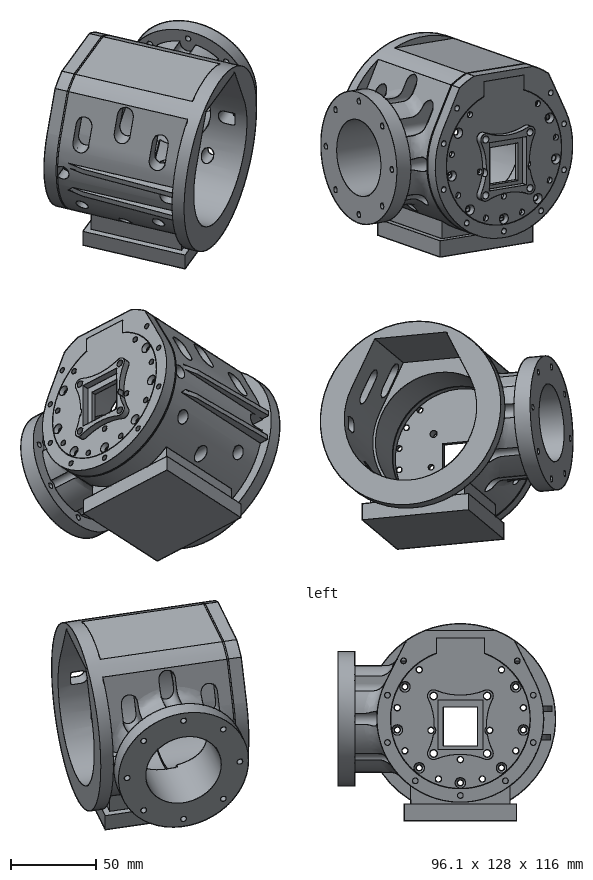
import cadquery as cq
import math


overall_width = 128.0
overall_height = 116.0

pad_front = -50.0
cover_front = -46.0
gasket_front = -38.1
housing_front = -37.2
top_flat_end = 37.0
flange_face = 38.4
housing_back = 46.1

barrel_radius = 49.0
flange_diameter = 112.0
flange_radius = flange_diameter / 2
top_flat_height = 51.8
flat_tilt = 26.6
main_bore_radius = 39.4
cavity_radius = 41.1
cavity_top = 47.5
cavity_front = -6.4

port_face = overall_width - flange_radius
port_flange_thickness = 10.0
port_back = port_face - port_flange_thickness
port_flange_diameter = 79.2
port_neck_diameter = 63.2
port_bore_diameter = 46.0
port_blend_radius = 7.7

port_bolt_count = 8
port_bolt_circle_radius = 34.3
port_bolt_hole = 3.5
upper_slot_width = 10.0
upper_slot_length = 19.5
upper_slot_rise = 0.9
level_access_width = 8.6
level_slot_length = 12.8
lower_access_diameter = 7.5
blind_access_depth = 8.8

foot_center_x = 4.7
pedestal_length, pedestal_width = 57.5, 58.4
foot_length, foot_width = 65.0, 66.0
foot_top = -50.0
foot_bottom = flange_radius - overall_height

rib_thickness = 3.2
rib_places = ((5.9, 51.0), (-10.9, 50.0))
rib_bend_x = -20.6
rib_rise = 3.0
rib_root = 43.5
rib_ramp_slope = 0.25

cover_bolt_hole = 3.3
cover_bolt_circle_radius = 45.0
cover_bolt_angles = (18, -18, -54, -90, -126, -162, 162)
cover_bolt_pair_y, cover_bolt_pair_z = 33.4, 34.0
cover_bolt_depth = 10.0

plate_thickness = 3.0
plate_recess_diameter = 82.3
plate_diameter = 81.9
key_width = 28.3
key_top = 47.5
plate_hole_circle_radius = 37.6
plain_hole = 3.5
plain_hole_angles = (50, 10, -30, -70)
screw_hole = 3.3
screw_head_diameter = 6.1
screw_head_angle = 60
screw_angles = (30, -10, -50)
lower_hole_z = -24.0
side_hole_y, side_hole_z = 17.3, -6.8
side_hole_relief_radius = 2.8

pad_center_z = -3.5
pad_hole = 4.2
pad_hole_y, pad_hole_z = 15.7, 16.9
pad_corner_radius = 3.6
pad_waist_y, pad_waist_z = 15.4, 17.4
pocket_width, pocket_height = 26.4, 29.2
window_width, window_height = 20.1, 22.8
window_center_z = -4.5

far = 76.8
tiny = 0.01


def disc_x(diameter, x_start, x_end, y=0.0, z=0.0):
    """Cylinder along X."""
    return cq.Workplane("YZ", origin=(x_start, y, z)).circle(diameter / 2).extrude(x_end - x_start)


def disc_y(diameter, y_start, y_end, x=0.0, z=0.0):
    """Cylinder along Y."""
    plane = cq.Plane(origin=(x, y_start, z), xDir=(-1, 0, 0), normal=(0, 1, 0))
    return cq.Workplane(plane).circle(diameter / 2).extrude(y_end - y_start)


def block(x_range, y_range, z_range):
    """Axis-aligned box between two limits on each axis."""
    ranges = (x_range, y_range, z_range)
    sizes = [high - low for low, high in ranges]
    corner = tuple(low for low, high in ranges)
    return cq.Workplane("XY").box(*sizes, centered=False).translate(corner)


def polar(radius, angle):
    return radius * math.cos(math.radians(angle)), radius * math.sin(math.radians(angle))


def arched_bar(x_start, x_end, radius, top_z):
    """Bar along X with a round bottom whose sides rise in tangent flats to a flat top."""
    tangent_y, tangent_z = polar(radius, flat_tilt)
    top_y = tangent_y - (top_z - tangent_z) * math.tan(math.radians(flat_tilt))
    return (
        cq.Workplane("YZ", origin=(x_start, 0, 0))
        .moveTo(tangent_y, tangent_z)
        .lineTo(top_y, top_z)
        .lineTo(-top_y, top_z)
        .lineTo(-tangent_y, tangent_z)
        .threePointArc((0, -radius), (tangent_y, tangent_z))
        .close()
        .extrude(x_end - x_start)
    )


def barrel(x_start, x_end):
    """Outer shape of the barrel: the arched bar kept inside the flange circle."""
    outline = arched_bar(x_start, x_end, barrel_radius, top_flat_height)
    return outline.intersect(disc_x(flange_diameter, x_start, x_end))


def cover_bolt_places():
    places = [polar(cover_bolt_circle_radius, angle) for angle in cover_bolt_angles]
    return places + [(side * cover_bolt_pair_y, cover_bolt_pair_z) for side in (1, -1)]


def cut_cover_bolts(body, x_start, x_end):
    for y, z in cover_bolt_places():
        body = body.cut(disc_x(cover_bolt_hole, x_start, x_end, y, z))
    return body



def barrel_with_neck():
    """Barrel and port neck, joined by a blend that is trimmed at the ends of the barrel."""
    neck = disc_y(port_neck_diameter, 0, port_back)
    joined = barrel(-far, far).union(neck)
    reach = port_neck_diameter / 2 + port_blend_radius
    near_y = barrel_radius / 2
    far_y = (barrel_radius + port_back) / 2
    seam_zone = cq.selectors.BoxSelector((-reach, near_y, -reach), (reach, far_y, reach))
    blended = joined.edges("not(%LINE)").edges(seam_zone).fillet(port_blend_radius)
    return blended.intersect(block((housing_front, flange_face), (-far, far), (-far, far)))


def end_flange():
    """Round flange; its top part starts where the flat on the barrel ends."""
    rim = disc_x(flange_diameter, flange_face, housing_back)
    side_y = polar(barrel_radius, flat_tilt)[0]
    crown = disc_x(flange_diameter, top_flat_end, flange_face).intersect(
        block((top_flat_end, flange_face), (-side_y, side_y), (cavity_top, far))
    )
    return rim, crown


def foot():
    pedestal = block(
        (foot_center_x - pedestal_length / 2, foot_center_x + pedestal_length / 2),
        (-pedestal_width / 2, pedestal_width / 2),
        (foot_top, -main_bore_radius),
    )
    base = block(
        (foot_center_x - foot_length / 2, foot_center_x + foot_length / 2),
        (-foot_width / 2, foot_width / 2),
        (foot_bottom, foot_top),
    )
    return pedestal.union(base)


def rib(center_z, bend_y):
    """Flat bar along X on the -Y side, rising out of the barrel and then more gently to the flange."""
    start_y = bend_y - rib_ramp_slope * (rib_bend_x - housing_front)
    profile = [
        (housing_front, -start_y),
        (rib_bend_x, -bend_y),
        (flange_face, -bend_y - rib_rise),
        (flange_face, -rib_root),
        (housing_front, -rib_root),
    ]
    bottom_z = center_z - rib_thickness / 2
    return cq.Workplane("XY", origin=(0, 0, bottom_z)).polyline(profile).close().extrude(rib_thickness)


def access_cut(x, z):
    """Tool access along Y behind one port bolt: a slot above the axis, a round hole below it."""
    plane = cq.Plane(origin=(x, port_back, z), xDir=(1, 0, 0), normal=(0, -1, 0))
    sketch = cq.Workplane(plane)
    on_axis_level = abs(z) < tiny
    if on_axis_level and x > 0:
        sketch = sketch.slot2D(level_slot_length, level_access_width)
    elif on_axis_level:
        sketch = sketch.circle(level_access_width / 2)
    elif z > 0:
        sketch = sketch.center(0, upper_slot_rise).slot2D(upper_slot_length, upper_slot_width, 90)
    else:
        sketch = sketch.circle(lower_access_diameter / 2)
    cut = sketch.extrude(port_back + far)
    return cut.intersect(block((-far, flange_face), (-far, far), (-far, far)))


def blind_access(cut):
    """Keep only the ends of a cut, each stopping at a copy of the barrel moved inwards along Y."""
    core = barrel(housing_front, flange_face)
    front = cut.intersect(block((-far, far), (-far, 0), (-far, far)))
    back = cut.intersect(block((-far, far), (0, far), (-far, far)))
    front = front.cut(core.translate((0, blind_access_depth, 0)))
    back = back.cut(core.translate((0, -blind_access_depth, 0)))
    return front, back


def make_housing():
    body = barrel_with_neck()
    for center_z, bend_y in rib_places:
        body = body.union(rib(center_z, bend_y))

    bolts = [polar(port_bolt_circle_radius, 360 / port_bolt_count * i) for i in range(port_bolt_count)]
    for x, z in bolts:
        cut = access_cut(x, z)
        if x < -tiny:
            for end in blind_access(cut):
                body = body.cut(end)
        else:
            body = body.cut(cut)

    for part in (*end_flange(), foot(), disc_y(port_flange_diameter, port_back, port_face)):
        body = body.union(part)
    for x, z in bolts:
        body = body.cut(disc_y(port_bolt_hole, port_back, port_face, x, z))
    body = body.cut(disc_x(2 * main_bore_radius, housing_front, housing_back))
    body = body.cut(arched_bar(cavity_front, housing_back, cavity_radius, cavity_top))
    body = body.cut(disc_y(port_bore_diameter, 0, port_face))
    return cut_cover_bolts(body, housing_front, housing_front + cover_bolt_depth)



def make_gasket():
    ring = barrel(gasket_front, housing_front).cut(
        disc_x(2 * main_bore_radius, gasket_front, housing_front)
    )
    return cut_cover_bolts(ring, gasket_front, housing_front)



def keyed_disc(diameter, x_start, x_end):
    """Disc with a square key at its top."""
    key = block((x_start, x_end), (-key_width / 2, key_width / 2), (0, key_top))
    return disc_x(diameter, x_start, x_end).union(key)


def make_cover():
    ring = barrel(cover_front, gasket_front)
    ring = ring.cut(disc_x(2 * main_bore_radius, cover_front, gasket_front))
    ring = ring.cut(keyed_disc(plate_recess_diameter, cover_front, cover_front + plate_thickness))
    return cut_cover_bolts(ring, cover_front, gasket_front)



def waist_tangent(along, across, waist):
    """Tangent point of a concave side arc on a corner circle, as (along, across) the side."""
    gap = waist - across
    side_radius = (along**2 + gap**2 - pad_corner_radius**2) / (2 * (pad_corner_radius - gap))
    reach = side_radius + pad_corner_radius
    share = pad_corner_radius / reach
    return along * (1 - share), across + share * (gap + side_radius)


def pad():
    """Four-cornered pad with rounded corners and concave sides, relieved around the side holes."""
    top_y, top_z = waist_tangent(pad_hole_y, pad_hole_z, pad_waist_z)
    side_z, side_y = waist_tangent(pad_hole_z, pad_hole_y, pad_waist_y)
    diagonal = pad_corner_radius / math.sqrt(2)
    tip_y, tip_z = pad_hole_y + diagonal, pad_hole_z + diagonal
    solid = (
        cq.Workplane("YZ", origin=(pad_front, 0, pad_center_z))
        .moveTo(-top_y, top_z)
        .threePointArc((0, pad_waist_z), (top_y, top_z))
        .threePointArc((tip_y, tip_z), (side_y, side_z))
        .threePointArc((pad_waist_y, 0), (side_y, -side_z))
        .threePointArc((tip_y, -tip_z), (top_y, -top_z))
        .threePointArc((0, -pad_waist_z), (-top_y, -top_z))
        .threePointArc((-tip_y, -tip_z), (-side_y, -side_z))
        .threePointArc((-pad_waist_y, 0), (-side_y, side_z))
        .threePointArc((-tip_y, tip_z), (-top_y, top_z))
        .close()
        .extrude(cover_front - pad_front)
    )
    for side in (1, -1):
        relief = disc_x(2 * side_hole_relief_radius, pad_front, cover_front, side * side_hole_y, side_hole_z)
        solid = solid.cut(relief)
    return solid


def countersunk_hole(y, z, x_end):
    through = disc_x(screw_hole, cover_front, x_end, y, z)
    depth = (screw_head_diameter - screw_hole) / 2 / math.tan(math.radians(screw_head_angle / 2))
    head = (
        cq.Workplane("YZ", origin=(cover_front, y, z))
        .circle(screw_head_diameter / 2)
        .workplane(offset=depth)
        .circle(screw_hole / 2)
        .loft()
    )
    return through.union(head)


def window(width, height, center_z, x_start, x_end):
    z_range = (center_z - height / 2, center_z + height / 2)
    return block((x_start, x_end), (-width / 2, width / 2), z_range)


def make_plate():
    plate_back = cover_front + plate_thickness
    body = keyed_disc(plate_diameter, cover_front, plate_back).union(pad())
    body = body.cut(window(pocket_width, pocket_height, pad_center_z, pad_front, cover_front))
    body = body.cut(window(window_width, window_height, window_center_z, cover_front, plate_back))

    plain_places = [(0, lower_hole_z)]
    screw_places = [(0, -plate_hole_circle_radius)]
    for side in (1, -1):
        plain_places.append((side * side_hole_y, side_hole_z))
        for angle in plain_hole_angles:
            y, z = polar(plate_hole_circle_radius, angle)
            plain_places.append((side * y, z))
        for angle in screw_angles:
            y, z = polar(plate_hole_circle_radius, angle)
            screw_places.append((side * y, z))
    for y, z in plain_places:
        body = body.cut(disc_x(plain_hole, cover_front, plate_back, y, z))
    for y, z in screw_places:
        body = body.cut(countersunk_hole(y, z, plate_back))

    for side_y in (1, -1):
        for side_z in (1, -1):
            y = side_y * pad_hole_y
            z = pad_center_z + side_z * pad_hole_z
            body = body.cut(disc_x(pad_hole, pad_front, plate_back, y, z))
    return body


housing = make_housing()
gasket = make_gasket()
cover = make_cover()
plate = make_plate()

result = cq.Compound.makeCompound([housing.val(), gasket.val(), cover.val(), plate.val()])